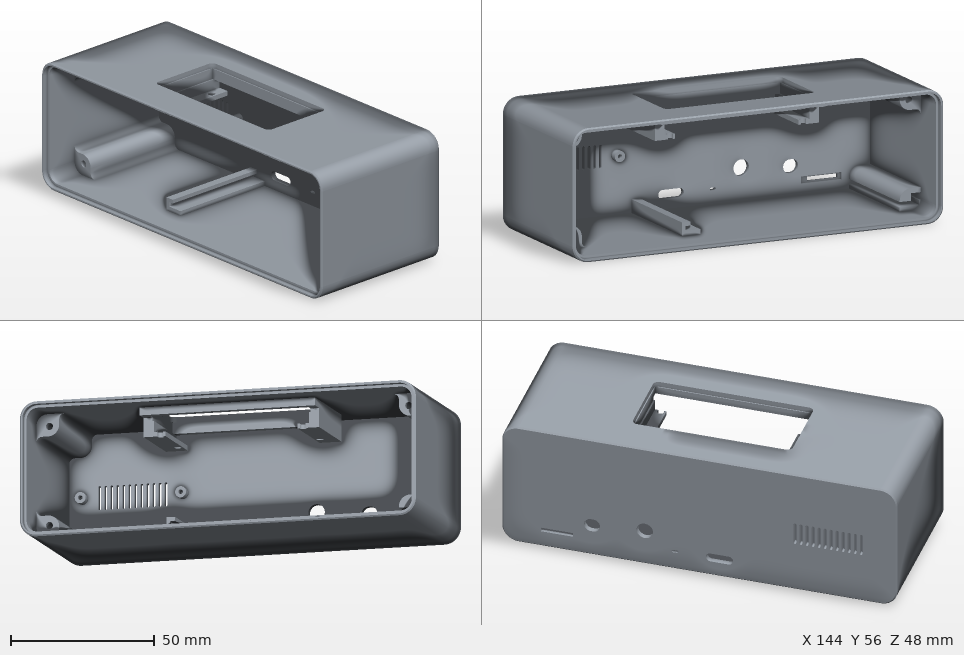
import cadquery as cq

length = 143.97
depth = 56.0
height = 47.97
corner_radius = 6.0
wall = 2.0
edge_chamfer = 0.5
rim_wall = 1.0
rim_depth = 2.0
front_y = -depth / 2
back_y = depth / 2
floor_y = back_y - wall
inner_length = length - 2 * wall
inner_height = height - 2 * wall
inner_radius = corner_radius - wall
inner_x = inner_length / 2
inner_z = inner_height / 2

boss_x = 65.3
boss_z = 17.6
boss_wrap = 3.55
boss_radius = 4.0
boss_flare = 2.0
boss_front_y = floor_y - 40.0
pilot_diameter = 2.53
pilot_depth = 10.0
pilot_cone_depth = 0.8

slot_bottom_z = -20.2
slot_top_z = -18.5
slot_end_x = 69.2
slot_mouth_radius = 0.6
relief_x = 66.2
relief_top_z = -15.8

rail_x = -22.8
rail_web = 1.3
rail_hook_width = 3.2
rail_foot_width = 7.1
rail_hook_thickness = 1.4

vent_x = -46.9
vent_z = -0.65
vent_count = 12
vent_pitch = 2.19
vent_width = 1.0
vent_height = 8.5
post_spacing = 36.5
post_diameter = 4.0
post_height = 3.0
post_hole_diameter = 1.62
post_pilot_diameter = 1.0
post_pilot_depth = 1.0

usb_x = -7.35
usb_width = 9.9
usb_height = 3.3
connector_z = -16.7
light_x = 8.9
light_width = 2.4
light_height = 1.0
button_x = 19.9
button_z = -10.25
button_diameter = 6.0
jack_x = 39.1
jack_z = -11.7
jack_width = 5.8
jack_height = 5.0
card_x = 51.0
card_z = -17.1
card_width = 15.6
card_height = 2.6
card_recess_depth = 1.0
card_opening_x = 51.9
card_opening_width = 11.8
card_opening_height = 1.5

window_length = 58.3
window_width = 27.5
window_radius = 2.0

bracket_length = 63.8
bracket_width = 32.2
plate_bottom_z = 19.2
bracket_window_length = 57.5
bracket_window_width = 26.7
pocket_length = 56.3
pocket_top_z = 18.0
pocket_bottom_z = 14.1
bracket_bottom_z = 12.4
lip_gap = 48.0
arm_front_y = -11.0
display_hole_diameter = 2.53
display_hole_x = 51.7
display_hole_y = 20.5


def block(x0, x1, y0, y1, z0, z1):
    """A box given by its limits along X, Y and Z."""
    return cq.Workplane("XY").box(x1 - x0, y1 - y0, z1 - z0, centered=False).translate((x0, y0, z0))


def section_at(y, x=0.0, z=0.0):
    """A sketch plane across Y; extruding from it by a negative distance goes toward +Y."""
    return cq.Workplane("XZ", origin=(x, y, z))


def rounded_bar(size_x, size_z, radius, y0, y1):
    """A centred bar along Y with its four long edges rounded."""
    return section_at(y0).rect(size_x, size_z).extrude(y0 - y1).edges("|Y").fillet(radius)


def rod(x, z, diameter, y0, y1):
    return section_at(y0, x, z).circle(diameter / 2).extrude(y0 - y1)


def wall_slot(x, z, width, height):
    """A cutter with round ends, right through the back wall."""
    long_side = max(width, height)
    short_side = min(width, height)
    angle = 0 if width > height else 90
    return section_at(floor_y, x, z).slot2D(long_side, short_side, angle).extrude(-wall)


def make_shell():
    shell = rounded_bar(length, height, corner_radius, front_y, back_y)
    shell = shell.faces("<Y or >Y").edges().chamfer(edge_chamfer)
    rebate = rounded_bar(
        length - 2 * rim_wall, height - 2 * rim_wall, corner_radius - rim_wall, front_y, front_y + rim_depth
    )
    window = cq.Workplane("XY").rect(window_length, window_width).extrude(height)
    window = window.edges("|Z").fillet(window_radius)
    return shell.cut(cavity).cut(rebate).cut(window)


def make_boss():
    """The upper right boss, flared where it meets the top and side walls."""
    left = boss_x - boss_wrap
    bottom = boss_z - boss_wrap
    boss = (
        section_at(boss_front_y)
        .moveTo(left - boss_flare, inner_z)
        .radiusArc((left, inner_z - boss_flare), boss_flare)
        .lineTo(left, bottom + boss_radius)
        .radiusArc((left + boss_radius, bottom), -boss_radius)
        .lineTo(inner_x - boss_flare, bottom)
        .radiusArc((inner_x, bottom - boss_flare), boss_flare)
        .lineTo(inner_x, inner_z)
        .close()
        .extrude(boss_front_y - floor_y)
    )
    pilot_end_y = boss_front_y + pilot_depth
    pilot = rod(boss_x, boss_z, pilot_diameter, boss_front_y, pilot_end_y)
    tip = cq.Solid.makeCone(
        pilot_diameter / 2, 0, pilot_cone_depth, cq.Vector(boss_x, pilot_end_y, boss_z), cq.Vector(0, 1, 0)
    )
    return boss.intersect(cavity).cut(pilot).cut(cq.Workplane(tip))


def make_slotted_boss():
    """The lower right boss, without flares or pilot hole, split by the circuit-board slot."""
    left = boss_x - boss_wrap
    top = boss_wrap - boss_z
    boss = block(left, inner_x, boss_front_y, floor_y, -inner_z, top)
    boss = boss.edges("|Y and <X and >Z").fillet(boss_radius)
    board_slot = block(left, slot_end_x, boss_front_y, floor_y, slot_bottom_z, slot_top_z)
    relief = block(relief_x, inner_x, boss_front_y, floor_y, slot_top_z, relief_top_z)
    foot_edge = cq.selectors.NearestToPointSelector((left, (boss_front_y + floor_y) / 2, slot_bottom_z))
    boss = boss.cut(board_slot).cut(relief)
    return boss.edges(foot_edge).fillet(slot_mouth_radius).intersect(cavity)


def add_posts(body):
    """Posts on the back wall, bored along their height with a narrower pilot into the wall."""
    post_front_y = floor_y - post_height
    for side in (-1, 1):
        x = vent_x + side * post_spacing / 2
        body = body.union(rod(x, vent_z, post_diameter, post_front_y, floor_y))
        body = body.cut(rod(x, vent_z, post_hole_diameter, post_front_y, floor_y))
        body = body.cut(rod(x, vent_z, post_pilot_diameter, floor_y, floor_y + post_pilot_depth))
    return body


def cut_vents(body):
    first_x = vent_x - vent_pitch * (vent_count - 1) / 2
    for index in range(vent_count):
        body = body.cut(wall_slot(first_x + index * vent_pitch, vent_z, vent_width, vent_height))
    return body


def cut_connectors(body):
    body = body.cut(wall_slot(usb_x, connector_z, usb_width, usb_height))
    body = body.cut(wall_slot(light_x, connector_z, light_width, light_height))
    body = body.cut(wall_slot(jack_x, jack_z, jack_width, jack_height))
    body = body.cut(rod(button_x, button_z, button_diameter, floor_y, back_y))
    card_recess = section_at(floor_y, card_x, card_z).rect(card_width, card_height).extrude(-card_recess_depth)
    card_opening = (
        section_at(floor_y, card_opening_x, card_z).rect(card_opening_width, card_opening_height).extrude(-wall)
    )
    return body.cut(card_recess).cut(card_opening)


def make_housing():
    body = make_shell()
    upper_right = make_boss()
    upper_left = upper_right.mirror("YZ")
    lower_left = upper_left.mirror("XY")
    for boss in (upper_right, upper_left, lower_left, make_slotted_boss()):
        body = body.union(boss)
    body = add_posts(body)
    body = cut_vents(body)
    return cut_connectors(body)


def make_rail():
    """A C-shaped rail: foot, upright web and a hook over the board's edge."""
    hook_top_z = slot_top_z + rail_hook_thickness
    return (
        section_at(boss_front_y)
        .moveTo(rail_x, -inner_z)
        .lineTo(rail_x + rail_foot_width, -inner_z)
        .lineTo(rail_x + rail_foot_width, slot_bottom_z)
        .lineTo(rail_x + rail_web, slot_bottom_z)
        .lineTo(rail_x + rail_web, slot_top_z)
        .lineTo(rail_x + rail_hook_width, slot_top_z)
        .lineTo(rail_x + rail_hook_width, hook_top_z)
        .lineTo(rail_x, hook_top_z)
        .close()
        .extrude(boss_front_y - floor_y)
    )


def make_bracket():
    """A window frame with two lipped arms that hold the display in a pocket."""

    def centred_block(size_x, size_y, z0, z1):
        return block(-size_x / 2, size_x / 2, -size_y / 2, size_y / 2, z0, z1)

    bracket = centred_block(bracket_length, bracket_width, bracket_bottom_z, inner_z)
    arm_clearance = block(
        -bracket_length / 2, bracket_length / 2, -bracket_width / 2, arm_front_y, bracket_bottom_z, plate_bottom_z
    )
    window = centred_block(bracket_window_length, bracket_window_width, pocket_top_z, inner_z)
    pocket = centred_block(pocket_length, bracket_width, pocket_bottom_z, pocket_top_z)
    gap = centred_block(lip_gap, bracket_width, bracket_bottom_z, pocket_bottom_z)
    holes = (
        cq.Workplane("XY")
        .rarray(display_hole_x, display_hole_y, 2, 2)
        .circle(display_hole_diameter / 2)
        .extrude(pocket_bottom_z)
    )
    return bracket.cut(arm_clearance).cut(window).cut(pocket).cut(gap).cut(holes)


cavity = rounded_bar(inner_length, inner_height, inner_radius, front_y, floor_y)
housing = make_housing()
rail = make_rail()
bracket = make_bracket()

result = cq.Compound.makeCompound([housing.val(), rail.val(), bracket.val()])